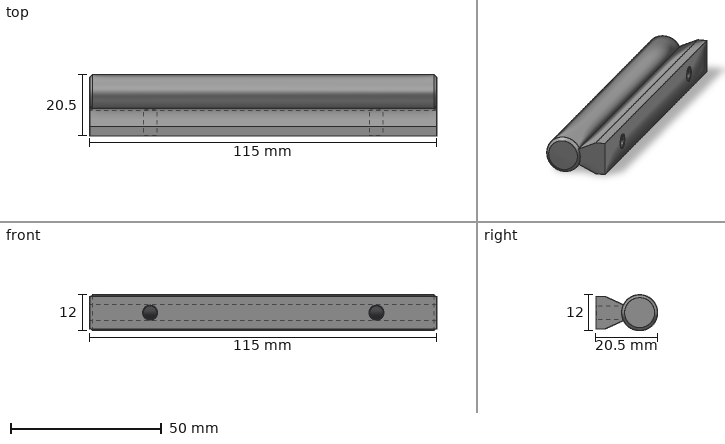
import cadquery as cq

length = 115.0
rod_diameter = 12.0
rod_chamfer = 1.0
total_depth = 20.5
support_height = 10.8
flat_depth = 3.1
neck_height = 5.3
hole_diameter = 4.5
hole_chamfer = 0.2
hole_spacing = 75.0

rod_radius = rod_diameter / 2
front_y = rod_radius - total_depth
shoulder_y = front_y + flat_depth
neck_y = -(rod_radius**2 - (neck_height / 2) ** 2) ** 0.5


def make_rod():
    """Shaft along X with a chamfer on both ends."""
    return (
        cq.Workplane("YZ", origin=(-length / 2, 0, 0))
        .circle(rod_radius)
        .extrude(length)
        .faces("<X or >X")
        .chamfer(rod_chamfer)
    )


def make_support():
    """Rail that narrows to a concave seat around the rod, with chamfered through holes along Y."""
    rail = (
        cq.Workplane("YZ", origin=(-length / 2, 0, 0))
        .moveTo(front_y, -support_height / 2)
        .lineTo(shoulder_y, -support_height / 2)
        .lineTo(neck_y, -neck_height / 2)
        .threePointArc((-rod_radius, 0), (neck_y, neck_height / 2))
        .lineTo(shoulder_y, support_height / 2)
        .lineTo(front_y, support_height / 2)
        .close()
        .extrude(length)
    )
    front_plane = cq.Workplane("XZ", origin=(0, front_y, 0))
    hole_centres = [(-hole_spacing / 2, 0), (hole_spacing / 2, 0)]
    bores = front_plane.pushPoints(hole_centres).circle(hole_diameter / 2).extrude(-total_depth)
    mouths = (
        front_plane.pushPoints(hole_centres)
        .circle(hole_diameter / 2 + hole_chamfer)
        .extrude(-hole_chamfer, taper=45)
    )
    return rail.cut(bores).cut(mouths)


rod = make_rod()
support = make_support()
result = cq.Compound.makeCompound([rod.solids().val(), support.solids().val()])